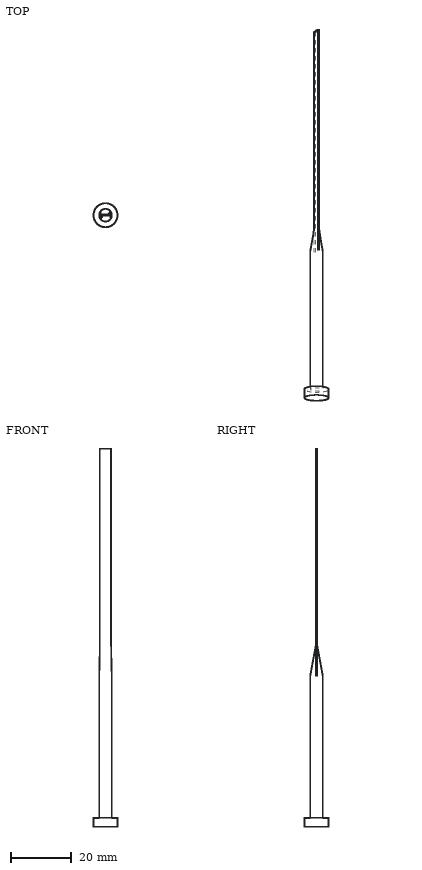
import cadquery as cq
import math

total_length = 125.0
head_diameter = 8.0
head_height = 3.0
shaft_diameter = 4.2
shaft_end = 50.0
blade_start = 60.0
blade_width = 3.8
blade_thickness = 0.5


def make_head():
    return cq.Workplane("XY").circle(head_diameter / 2).extrude(head_height)


def make_shaft():
    return cq.Workplane("XY").circle(shaft_diameter / 2).extrude(shaft_end)


def make_transition():
    """Loft from the round shaft to the blade, four arcs facing the four blade sides."""
    radius = shaft_diameter / 2
    corner_angle = math.atan2(blade_thickness, blade_width)
    x = radius * math.cos(corner_angle)
    y = radius * math.sin(corner_angle)
    return (
        cq.Workplane("XY", origin=(0, 0, shaft_end))
        .moveTo(-x, -y)
        .threePointArc((0, -radius), (x, -y))
        .threePointArc((radius, 0), (x, y))
        .threePointArc((0, radius), (-x, y))
        .threePointArc((-radius, 0), (-x, -y))
        .close()
        .workplane(offset=blade_start - shaft_end)
        .rect(blade_width, blade_thickness)
        .loft(ruled=True)
    )


def make_blade():
    return (
        cq.Workplane("XY", origin=(0, 0, blade_start))
        .rect(blade_width, blade_thickness)
        .extrude(total_length - blade_start)
    )


result = make_head().union(make_shaft()).union(make_transition()).union(make_blade())